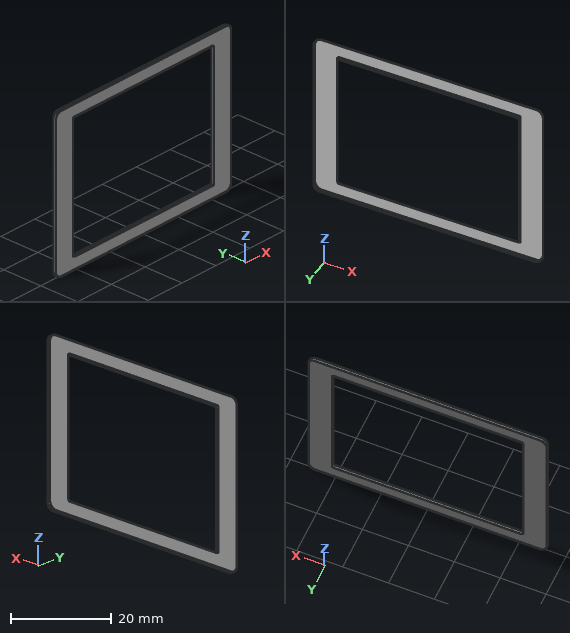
import cadquery as cq

width = 51.8
height = 37.6
thickness = 0.7
outer_corner_radius = 1.5

window_width = 41.65
window_height = 31.7
window_corner_radius = 0.45


def rounded_plate(size_x, size_z, corner_radius):
    """Plate centred on the origin, with its four corners rounded."""
    plate = cq.Workplane("XY").box(size_x, thickness, size_z)
    return plate.edges("|Y").fillet(corner_radius)


frame = rounded_plate(width, height, outer_corner_radius)
window = rounded_plate(window_width, window_height, window_corner_radius)
result = frame.cut(window)